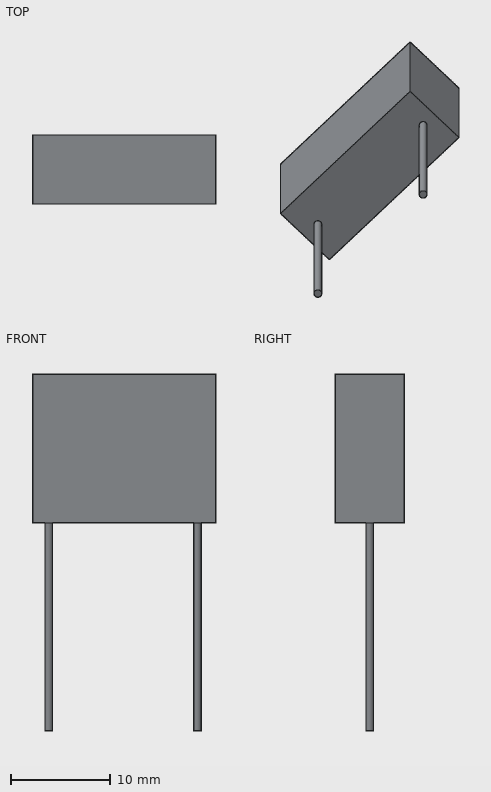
import cadquery as cq

total_height = 36.0
case_width = 18.5
case_depth = 7.0
case_height = 15.0

lead_diameter = 0.8
lead_pitch = 15.0
lead_pair_offset = -0.1
lead_length = total_height - case_height


def make_case():
    """Plain rectangular case standing on the plane Z = 0."""
    return cq.Workplane("XY").box(case_width, case_depth, case_height, centered=(True, True, False))


def make_lead(x):
    """Straight round lead hanging from the underside of the case."""
    return cq.Workplane("XY").center(x, 0).circle(lead_diameter / 2).extrude(-lead_length)


case = make_case()
leads = [make_lead(lead_pair_offset + side * lead_pitch / 2) for side in (-1, 1)]

result = cq.Compound.makeCompound([case.val(), *[lead.val() for lead in leads]])